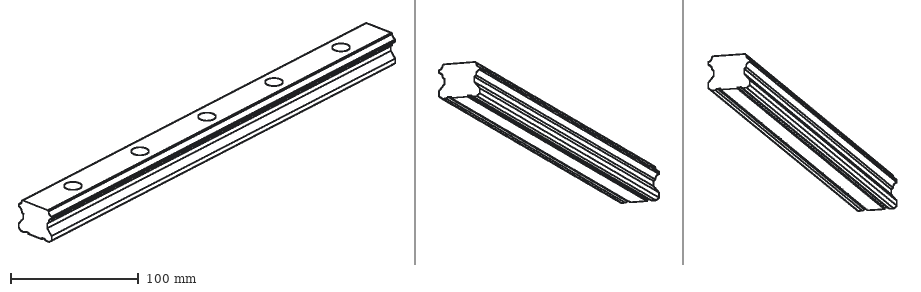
import cadquery as cq
import math

length = 410
width = 34.0
height = 27.5
half_width = width / 2

top_half_width = 13.0
groove_half_width = 14.0
bevel_height = 1.0
nose_top = 23.0
nose_bottom = 21.0

land_top = 18.0
land_bottom = 17.0
neck_inset = 1.45
neck_half_width = groove_half_width - neck_inset
neck_top = 15.5
neck_bottom = 11.5
foot_top = 6.0
foot_chamfer_height = 2.0
foot_chamfer_width = 2.5

relief_inner = 7.0
relief_floor_outer = 9.5
relief_outer = 11.0
relief_depth = 1.02

cap_count = 5
cap_pitch = 80.0
cap_diameter = 14.0
cap_recess = 0.2

upper_groove_z = height - bevel_height
groove_drop = upper_groove_z - nose_top
groove_depth = half_width - groove_half_width
groove_radius = (groove_drop**2 + groove_depth**2) / (2 * groove_depth)
groove_centre_x = groove_half_width + groove_radius
lower_groove_z = nose_bottom - groove_drop


def groove_x(offset):
    """X of the groove surface at a vertical offset from its deepest point."""
    return groove_centre_x - math.sqrt(groove_radius**2 - offset**2)


def half_rail():
    """The +X half of the rail, extruded along Y and centred on the origin."""
    mid_offset = groove_drop / 2
    upper_groove_mid = (groove_x(mid_offset), upper_groove_z - mid_offset)
    lower_groove_mid = (groove_x(mid_offset), lower_groove_z + mid_offset)
    lower_groove_end = (groove_x(land_top - lower_groove_z), land_top)
    return (
        cq.Workplane("XZ")
        .moveTo(0, height)
        .lineTo(top_half_width, height)
        .lineTo(groove_half_width, upper_groove_z)
        .threePointArc(upper_groove_mid, (half_width, nose_top))
        .lineTo(half_width, nose_bottom)
        .threePointArc(lower_groove_mid, lower_groove_end)
        .lineTo(groove_half_width, land_bottom)
        .lineTo(neck_half_width, neck_top)
        .lineTo(neck_half_width, neck_bottom)
        .lineTo(half_width, foot_top)
        .lineTo(half_width, foot_chamfer_height)
        .lineTo(half_width - foot_chamfer_width, 0)
        .lineTo(relief_outer, 0)
        .lineTo(relief_floor_outer, relief_depth)
        .lineTo(relief_inner, relief_depth)
        .lineTo(relief_inner, 0)
        .lineTo(0, 0)
        .close()
        .extrude(length / 2, both=True)
    )


def cap_recesses():
    """Shallow round recesses spaced evenly along the top face."""
    return (
        cq.Workplane("XY", origin=(0, 0, height - cap_recess))
        .rarray(4, cap_pitch, 1, cap_count)
        .circle(cap_diameter / 2)
        .extrude(cap_recess)
    )


right_half = half_rail()
rail = right_half.union(right_half.mirror("YZ")).clean()
result = rail.cut(cap_recesses())